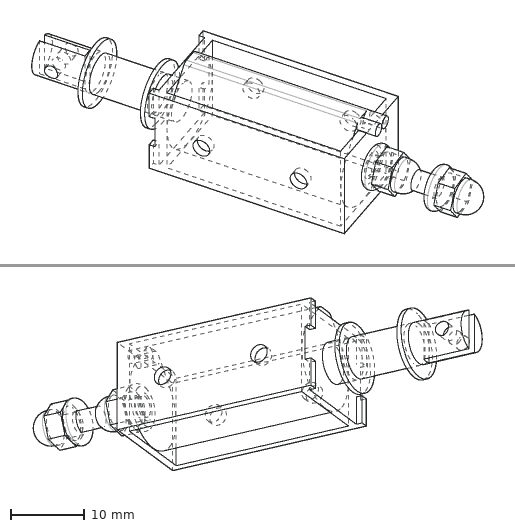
import cadquery as cq
import math

overall_length = 68.1
stroke = 9.7

frame_start = 20.75
frame_length = 30.2
frame_width = 15.5
frame_height = 13.1
wall = 1.2
lip_length = 0.9
lip_gap_height = 4.9
side_hole_diameter = 2.6
side_hole_positions = (28.85, 43.9)
frame_end = frame_start + frame_length
front_wall_face = frame_start + lip_length
coil_start = front_wall_face + wall
coil_end = frame_end - wall

coil_radius = 6.5
part_top = 8.3
lead_diameter = 1.85
lead_offset = 0.95
lead_end = 52.6
lead_radius = lead_diameter / 2
lead_height = part_top - lead_radius

plunger_diameter = 5.9
fork_slot_length = 7.1
fork_slot_width = 1.4
pin_hole_diameter = 2.05
pin_hole_position = 3.0
washer_diameter = 9.95
washer_thickness = 0.7
first_washer_position = 8.25

rod_diameter = 3.0
ring_section_diameter = 1.85
ring_section_radius = ring_section_diameter / 2
nut_corner_diameter = 6.5
nut_length = 2.6
nut_turn = 7.3
dome_diameter = 5.0
dome_radius = dome_diameter / 2
dome_collar = 0.6


def rod_along_x(start, end, diameter):
    return cq.Workplane("YZ", origin=(start, 0, 0)).circle(diameter / 2).extrude(end - start)


def block(start, end, width, height):
    blank = cq.Workplane("XY").box(end - start, width, height, centered=(False, True, True))
    return blank.translate((start, 0, 0))


def make_frame():
    frame = block(frame_start, frame_end, frame_width, frame_height)
    inner_width = frame_width - 2 * wall
    frame = frame.cut(block(coil_start, coil_end, inner_width, frame_height))
    frame = frame.cut(block(frame_start, front_wall_face, inner_width, frame_height))
    frame = frame.cut(block(frame_start, front_wall_face, frame_width, lip_gap_height))
    side_holes = (
        cq.Workplane("XZ", origin=(0, frame_width / 2, 0))
        .pushPoints([(x, 0) for x in side_hole_positions])
        .circle(side_hole_diameter / 2)
        .extrude(frame_width)
    )
    return frame.cut(side_holes)


def make_coil():
    """Round coil wrapped tightly over two lead wires lying side by side on top."""
    center_distance = math.hypot(lead_offset, lead_height)
    lead_tilt = math.atan2(lead_offset, lead_height)
    flank_normal = lead_tilt + math.acos((coil_radius - lead_radius) / center_distance)

    def on_lead(angle):
        return (
            lead_offset + lead_radius * math.sin(angle),
            lead_height + lead_radius * math.cos(angle),
        )

    def mirrored(point):
        return (-point[0], point[1])

    coil_tangent = (coil_radius * math.sin(flank_normal), coil_radius * math.cos(flank_normal))
    lead_tangent = on_lead(flank_normal)
    lead_middle = on_lead(flank_normal / 2)
    lead_top = on_lead(0)
    return (
        cq.Workplane("YZ", origin=(coil_start, 0, 0))
        .moveTo(*coil_tangent)
        .lineTo(*lead_tangent)
        .threePointArc(lead_middle, lead_top)
        .lineTo(*mirrored(lead_top))
        .threePointArc(mirrored(lead_middle), mirrored(lead_tangent))
        .lineTo(*mirrored(coil_tangent))
        .threePointArc((0, -coil_radius), coil_tangent)
        .close()
        .extrude(coil_end - coil_start)
    )


def make_leads():
    return (
        cq.Workplane("YZ", origin=(coil_end, 0, 0))
        .pushPoints([(side * lead_offset, lead_height) for side in (-1, 1)])
        .circle(lead_radius)
        .extrude(lead_end - coil_end)
    )


def make_plunger():
    plunger = rod_along_x(0, coil_start, plunger_diameter)
    plunger = plunger.cut(block(0, fork_slot_length, fork_slot_width, plunger_diameter))
    pin_hole = (
        cq.Workplane("XZ")
        .center(pin_hole_position, 0)
        .circle(pin_hole_diameter / 2)
        .extrude(plunger_diameter, both=True)
    )
    plunger = plunger.cut(pin_hole)
    for start in (first_washer_position, first_washer_position + stroke):
        plunger = plunger.union(rod_along_x(start, start + washer_thickness, washer_diameter))
    return plunger


def make_ring_and_nut(dome_tip):
    dome_center = dome_tip - dome_radius
    nut_end = dome_center - dome_collar
    nut_start = nut_end - nut_length
    nut = (
        cq.Workplane("YZ", origin=(nut_start, 0, 0))
        .polygon(6, nut_corner_diameter)
        .extrude(nut_length)
        .rotate((0, 0, 0), (1, 0, 0), nut_turn)
    )
    collar = rod_along_x(nut_end, dome_center, dome_diameter)
    dome = cq.Workplane("XY").sphere(dome_radius).translate((dome_center, 0, 0))
    ring_middle = nut_start - ring_section_radius
    ring_inner_radius = rod_diameter / 2
    ring_center_radius = ring_inner_radius + ring_section_radius
    ring_outer_radius = ring_center_radius + ring_section_radius
    diagonal = ring_section_radius * math.sqrt(0.5)
    ring = (
        cq.Workplane("XY")
        .moveTo(ring_middle, 0)
        .lineTo(ring_middle, ring_inner_radius)
        .threePointArc(
            (ring_middle - ring_section_radius, ring_center_radius),
            (ring_middle, ring_outer_radius),
        )
        .threePointArc(
            (ring_middle + diagonal, ring_center_radius + diagonal),
            (nut_start, ring_center_radius),
        )
        .lineTo(nut_start, 0)
        .close()
        .revolve(360, (0, 0, 0), (1, 0, 0))
    )
    return nut.union(collar).union(dome).union(ring)


result = make_frame().union(make_coil()).union(make_leads()).union(make_plunger())
result = result.union(rod_along_x(coil_end, overall_length - dome_radius, rod_diameter))
for tip in (overall_length - stroke, overall_length):
    result = result.union(make_ring_and_nut(tip))